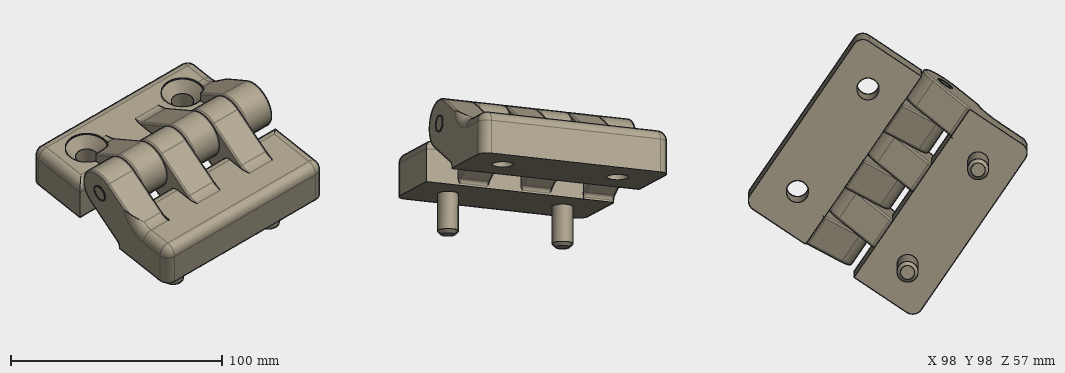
import cadquery as cq
import math

OVERALL_LENGTH = 98.0
OVERALL_WIDTH = 98.0
LEAF_OFFSET = 0.3

LEAF_THICKNESS = 21.1
LEAF_ROUND = 5.0
LEAF_GAP = 27.8
LEAF_INNER_X = LEAF_GAP / 2
LEAF_OUTER_X = OVERALL_LENGTH / 2
LEAF_FRONT_Y = LEAF_OFFSET - OVERALL_WIDTH / 2
LEAF_BACK_Y = OVERALL_WIDTH / 2

AXIS_Z = 25.2
BARREL_RADIUS = 12.0
ARM_ANGLE = math.radians(32)
TAIL_RADIUS = 10.0
HEEL_RADIUS = 2.45
KNUCKLE_ROUND = 0.9
KNUCKLES_PER_LEAF = 3
KNUCKLE_GAP = 0.2
KNUCKLE_PITCH = (-2 * LEAF_FRONT_Y + KNUCKLE_GAP) / (2 * KNUCKLES_PER_LEAF)
KNUCKLE_WIDTH = KNUCKLE_PITCH - KNUCKLE_GAP

PIN_DIAMETER = 8.0
PIN_CHAMFER = 0.4

FASTENER_X = 31.5
FASTENER_Y = 29.8
HOLE_DIAMETER = 10.5
COUNTERSINK_DIAMETER = 20.2
COUNTERSINK_SINK = 0.8
STUD_DIAMETER = 10.0
STUD_LENGTH = 19.8
STUD_CHAMFER = 1.7

SIN_A = math.sin(ARM_ANGLE)
COS_A = math.cos(ARM_ANGLE)
TOP_CORNER_X = (BARREL_RADIUS + (AXIS_Z - LEAF_THICKNESS) * COS_A) / SIN_A
TAIL_TANGENT = TAIL_RADIUS * math.tan(ARM_ANGLE / 2)
TAIL_END_X = TOP_CORNER_X + TAIL_TANGENT
TAIL_CENTRE_Z = LEAF_THICKNESS + TAIL_RADIUS
HEEL_CORNER_Z = AXIS_Z - (BARREL_RADIUS + LEAF_INNER_X * SIN_A) / COS_A
HEEL_TURN = math.pi / 2 - ARM_ANGLE
HEEL_TANGENT = HEEL_RADIUS * math.tan(HEEL_TURN / 2)


def prism(sketch, y_start, length):
    """Turn a closed XZ outline into a prism running from y_start towards +Y."""
    return sketch.extrude(-length).translate((0, y_start, 0))


def make_plate():
    length = LEAF_OUTER_X - LEAF_INNER_X
    plate = cq.Workplane("XY").box(length, LEAF_BACK_Y - LEAF_FRONT_Y, LEAF_THICKNESS, centered=False)
    plate = plate.translate((LEAF_INNER_X, LEAF_FRONT_Y, 0))
    plate = plate.edges("|Z and >X").fillet(LEAF_ROUND)
    return plate.faces(">Z").edges().fillet(LEAF_ROUND)


def make_knuckle(y_start):
    """Barrel with the sloped arm that blends into the leaf."""
    tail_start = (TOP_CORNER_X - TAIL_TANGENT * COS_A, LEAF_THICKNESS + TAIL_TANGENT * SIN_A)
    tail_middle = (
        TAIL_END_X - TAIL_RADIUS * math.sin(ARM_ANGLE / 2),
        TAIL_CENTRE_Z - TAIL_RADIUS * math.cos(ARM_ANGLE / 2),
    )
    heel_end = (LEAF_INNER_X - HEEL_TANGENT * COS_A, HEEL_CORNER_Z + HEEL_TANGENT * SIN_A)
    heel_start_z = HEEL_CORNER_Z - HEEL_TANGENT
    heel_middle = (
        LEAF_INNER_X - HEEL_RADIUS * (1 - math.cos(HEEL_TURN / 2)),
        heel_start_z + HEEL_RADIUS * math.sin(HEEL_TURN / 2),
    )
    outline = (
        cq.Workplane("XZ")
        .moveTo(TAIL_END_X, 0)
        .lineTo(TAIL_END_X, LEAF_THICKNESS)
        .threePointArc(tail_middle, tail_start)
        .lineTo(BARREL_RADIUS * SIN_A, AXIS_Z + BARREL_RADIUS * COS_A)
        .threePointArc((-BARREL_RADIUS, AXIS_Z), (-BARREL_RADIUS * SIN_A, AXIS_Z - BARREL_RADIUS * COS_A))
        .lineTo(*heel_end)
        .threePointArc(heel_middle, (LEAF_INNER_X, heel_start_z))
        .lineTo(LEAF_INNER_X, 0)
        .close()
    )
    knuckle = prism(outline, y_start, KNUCKLE_WIDTH)
    rounded_sides = knuckle.faces("<Y or >Y").edges("not(<Z or >X)")
    return rounded_sides.fillet(KNUCKLE_ROUND)


def make_end_round_cutter():
    """Continues the round of the leaf's front edge up along the tail of the end knuckle."""
    tip = LEAF_THICKNESS - LEAF_ROUND
    inner_y = LEAF_FRONT_Y + LEAF_ROUND
    middle = LEAF_ROUND * math.sin(math.pi / 4)
    section = (
        cq.Workplane("YZ", origin=(TAIL_END_X, 0, 0))
        .moveTo(LEAF_FRONT_Y, tip)
        .threePointArc((inner_y - middle, tip + middle), (inner_y, LEAF_THICKNESS))
        .lineTo(LEAF_FRONT_Y, LEAF_THICKNESS)
        .close()
    )
    return section.revolve(90, (0, TAIL_CENTRE_Z, 0), (1, TAIL_CENTRE_Z, 0))


def make_leaf():
    """Leaf on the +X side with its three knuckles, the first one flush with the front."""
    leaf = make_plate()
    end_seat = cq.Workplane("XY").box(
        TAIL_END_X - LEAF_INNER_X, KNUCKLE_WIDTH, LEAF_THICKNESS, centered=False
    )
    leaf = leaf.cut(end_seat.translate((LEAF_INNER_X, LEAF_FRONT_Y, 0)))
    for index in range(KNUCKLES_PER_LEAF):
        knuckle = make_knuckle(LEAF_FRONT_Y + 2 * index * KNUCKLE_PITCH)
        if index == 0:
            knuckle = knuckle.cut(make_end_round_cutter())
        leaf = leaf.union(knuckle)
    return leaf


def make_countersunk_hole():
    """Through hole, 90 degree countersink and clearance above the leaf."""
    hole_radius = HOLE_DIAMETER / 2
    head_radius = COUNTERSINK_DIAMETER / 2
    clearance_top = AXIS_Z + BARREL_RADIUS
    cone_top = LEAF_THICKNESS - COUNTERSINK_SINK
    return (
        cq.Workplane("XZ")
        .lineTo(hole_radius, 0)
        .lineTo(hole_radius, cone_top - (head_radius - hole_radius))
        .lineTo(head_radius, cone_top)
        .lineTo(head_radius, clearance_top)
        .lineTo(0, clearance_top)
        .close()
        .revolve(360, (0, 0, 0), (0, 1, 0))
    )


def make_stud():
    stud = cq.Workplane("XY").circle(STUD_DIAMETER / 2).extrude(-STUD_LENGTH)
    return stud.faces("<Z").chamfer(STUD_CHAMFER)


def make_pin():
    profile = cq.Workplane("XZ").center(0, AXIS_Z).circle(PIN_DIAMETER / 2)
    pin = prism(profile, LEAF_FRONT_Y, -2 * LEAF_FRONT_Y)
    return pin.faces("<Y or >Y").chamfer(PIN_CHAMFER)


stud_leaf = make_leaf()
hole_leaf = stud_leaf.rotate((0, 0, 0), (0, 0, 1), 180)
for side in (-1, 1):
    stud_leaf = stud_leaf.union(make_stud().translate((FASTENER_X, side * FASTENER_Y, 0)))
    hole_leaf = hole_leaf.cut(make_countersunk_hole().translate((-FASTENER_X, side * FASTENER_Y, 0)))

pin = make_pin()
bore = cq.Workplane("XZ").center(0, AXIS_Z).circle(PIN_DIAMETER / 2).extrude(OVERALL_WIDTH / 2, both=True)
result = stud_leaf.union(hole_leaf).cut(bore).union(pin)